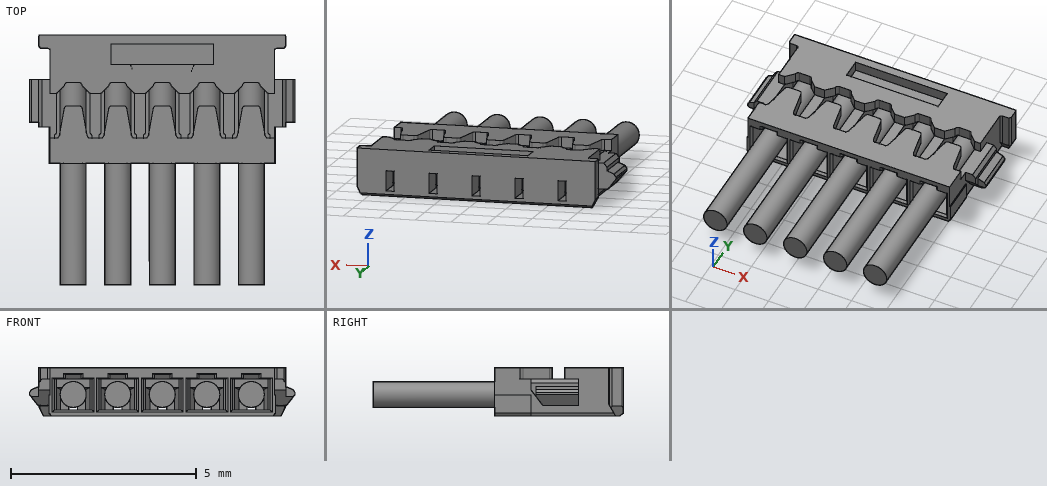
import cadquery as cq

overall_width = 7.16
overall_length = 6.74
height = 1.3
body_length = 3.465
body_half_width = 3.03

wire_count = 5
outer_wire_spacing = 4.8
wire_pitch = outer_wire_spacing / (wire_count - 1)
wire_diameter = 0.7
wire_center_z = 0.58
wire_rear_y = -0.715
shelf_z = 1.0
cavity_floor_z = 0.165
cavity_half_width = 0.45
cavity_rear_y = -1.075
funnel_depth = 0.285
seat_half_width = 0.34
seat_top_z = 0.715
seat_mouth_top_z = 0.77
contact_half_width = 0.115

entry_half_width = 0.51
entry_inner_y = -2.65
entry_outer_y = -2.71
mouth_half_width = 0.565
mouth_floor_z = 0.11
mouth_top_z = 1.03
mouth_lead = 0.065

relief_half_width = 0.21
relief_top_z = 1.12
relief_mouth_half_width = 0.265
relief_mouth_top_z = 1.15
relief_rear_y = -3.32

recess_rear_y = -1.58
recess_front_y = -2.785
tip_flat_half_width = 0.15
scallop_tip_y = -1.28
scallop_shoulder = (0.235, -1.37)
tongue_tip_y = -1.91
tongue_shoulder = (0.24, -1.99)
tongue_foot = (0.37, -2.71)
tongue_root_half_width = 0.44

pocket_half_width = 1.375
pocket_rear_y = -0.24
pocket_front_y = -0.795

flange_half_width = 3.33
flange_thickness = 0.365
flange_root_y = -0.395
flange_bottom_half_width = 3.2
flange_bevel_z = 0.265
flange_front_bevel_y = -0.21
flange_front_bevel_z = 0.32
flange_rear_corner_x = 0.015
flange_rear_corner_y = 0.05
flange_front_corner_x = 0.04
flange_front_corner_y = -0.3
flange_root_x = 3.085
rear_bevel_y = 0.1
rear_bevel_z = 0.07

latch_rear_y = -1.2
latch_front_y = -2.485
barb_front_y = -2.355
latch_bottom_z = 0.285
latch_bevel_top_z = 0.7
latch_bevel_rear_y = -2.17
latch_step_x = flange_half_width
latch_step_top_z = 0.895
latch_top_half_width = 3.235
barb_bottom_half_width = 3.35
barb_tip_low_z = 0.58
barb_tip_high_z = 0.63
barb_shoulder = (3.52, 0.715)
barb_top_z = 0.795

lip_width = 0.03
lip_top_z = 0.57
side_bevel_width = 0.035
side_bevel_z = 0.085

wire_positions = [(i - (wire_count - 1) / 2) * wire_pitch for i in range(wire_count)]


def box(x_half, y_front, y_rear, z_low, z_high):
    """Block centred on X between the given Y and Z limits."""
    return (
        cq.Workplane("XY", origin=(0, (y_front + y_rear) / 2, z_low))
        .rect(2 * x_half, y_rear - y_front)
        .extrude(z_high - z_low)
    )


def mirrored_points(right_side):
    """Close an outline by mirroring its right-hand points about X = 0."""
    return right_side + [(-x, y) for x, y in reversed(right_side)]


def front_prism(points, y_front, y_rear):
    """Extrude an XZ outline from y_front back to y_rear."""
    return cq.Workplane("XZ", origin=(0, y_rear, 0)).polyline(points).close().extrude(y_rear - y_front)


def side_prism(points, half_width):
    """Extrude a YZ outline to both sides of X = 0."""
    return cq.Workplane("YZ").polyline(points).close().extrude(half_width, both=True)


def taper(front, rear):
    """Loft between two rectangles, each given as (y, half width, z low, z high)."""
    wires = []
    for y, half, z_low, z_high in (front, rear):
        corners = [(-half, y, z_low), (half, y, z_low), (half, y, z_high), (-half, y, z_high)]
        wires.append(cq.Wire.makePolygon([cq.Vector(*corner) for corner in corners], close=True))
    return cq.Workplane(cq.Solid.makeLoft(wires, True))


def make_body():
    bevel_x = body_half_width - side_bevel_width
    section = mirrored_points([(bevel_x, 0), (body_half_width, side_bevel_z), (body_half_width, height)])
    body = front_prism(section, -body_length, 0)
    lip_x = body_half_width + lip_width
    lip = mirrored_points([(bevel_x, 0), (lip_x, side_bevel_z), (lip_x, lip_top_z)])
    return body.union(front_prism(lip, -body_length, latch_front_y))


def make_flange():
    plan = mirrored_points([
        (flange_half_width - flange_rear_corner_x, 0),
        (flange_half_width, -flange_rear_corner_y),
        (flange_half_width, flange_front_corner_y),
        (flange_half_width - flange_front_corner_x, -flange_thickness),
        (flange_root_x, -flange_thickness),
        (body_half_width, flange_root_y),
    ])
    flange = cq.Workplane("XY").polyline(plan).close().extrude(height)
    section = mirrored_points([
        (flange_bottom_half_width, 0),
        (flange_half_width, flange_bevel_z),
        (flange_half_width, height),
    ])
    profile = [
        (0, 0),
        (flange_front_bevel_y, 0),
        (flange_root_y, flange_front_bevel_z),
        (flange_root_y, height),
        (0, height),
    ]
    flange = flange.intersect(front_prism(section, -body_length, 0))
    return flange.intersect(side_prism(profile, flange_half_width))


def make_latches():
    tip_x = overall_width / 2
    barb = mirrored_points([
        (barb_bottom_half_width, latch_bottom_z),
        (tip_x, barb_tip_low_z),
        (tip_x, barb_tip_high_z),
        barb_shoulder,
        (latch_step_x, barb_top_z),
    ])
    inner = mirrored_points([
        (latch_step_x, latch_bottom_z),
        (latch_step_x, latch_step_top_z),
        (latch_top_half_width, shelf_z),
    ])
    latches = front_prism(barb, barb_front_y, latch_rear_y)
    latches = latches.union(front_prism(inner, latch_front_y, latch_rear_y))
    front_bevel = [
        (latch_front_y, latch_bottom_z),
        (latch_front_y, latch_bevel_top_z),
        (latch_bevel_rear_y, latch_bottom_z),
    ]
    return latches.cut(side_prism(front_bevel, tip_x))


def make_recess():
    """Full-width recess with a scallop behind every wire and a tongue over it."""
    recess = box(overall_width, recess_front_y, recess_rear_y, shelf_z, height)
    depth = height - shelf_z
    shelf = cq.Workplane("XY", origin=(0, 0, shelf_z))
    half_scallop = (
        shelf.moveTo(0, scallop_tip_y)
        .lineTo(tip_flat_half_width, scallop_tip_y)
        .tangentArcPoint(scallop_shoulder, relative=False)
        .lineTo(cavity_half_width, recess_rear_y)
        .lineTo(0, recess_rear_y)
        .close()
        .extrude(depth)
    )
    half_tongue = (
        shelf.moveTo(0, tongue_tip_y)
        .lineTo(tip_flat_half_width, tongue_tip_y)
        .tangentArcPoint(tongue_shoulder, relative=False)
        .lineTo(*tongue_foot)
        .tangentArcPoint((tongue_root_half_width, recess_front_y), relative=False)
        .lineTo(0, recess_front_y)
        .close()
        .extrude(depth)
    )
    scallop = half_scallop.union(half_scallop.mirror("YZ"))
    tongue = half_tongue.union(half_tongue.mirror("YZ"))
    for x in wire_positions:
        recess = recess.union(scallop.translate((x, 0, 0)))
        recess = recess.cut(tongue.translate((x, 0, 0)))
    return recess


def make_cavity():
    front_y = -body_length
    cavity = box(cavity_half_width, front_y, cavity_rear_y, cavity_floor_z, shelf_z)
    cavity = cavity.union(box(entry_half_width, front_y, entry_outer_y, cavity_floor_z, shelf_z))
    cavity = cavity.union(taper(
        (entry_outer_y, entry_half_width, cavity_floor_z, shelf_z),
        (entry_inner_y, cavity_half_width, cavity_floor_z, shelf_z),
    ))
    cavity = cavity.union(taper(
        (front_y, mouth_half_width, mouth_floor_z, mouth_top_z),
        (front_y + mouth_lead, entry_half_width, cavity_floor_z, shelf_z),
    ))
    seat_front_y = cavity_rear_y + funnel_depth
    cavity = cavity.union(taper(
        (cavity_rear_y, cavity_half_width, cavity_floor_z, seat_mouth_top_z),
        (seat_front_y, seat_half_width, cavity_floor_z, seat_top_z),
    ))
    cavity = cavity.union(box(seat_half_width, seat_front_y, wire_rear_y, cavity_floor_z, seat_top_z))
    return cavity.union(box(contact_half_width, wire_rear_y, 0, cavity_floor_z, seat_top_z))


def make_relief():
    front_y = -body_length
    lead_y = front_y + mouth_lead
    lead_in = taper(
        (front_y, relief_mouth_half_width, shelf_z, relief_mouth_top_z),
        (lead_y, relief_half_width, shelf_z, relief_top_z),
    )
    ramp = [(lead_y, shelf_z), (lead_y, relief_top_z), (relief_rear_y, shelf_z)]
    return lead_in.union(side_prism(ramp, relief_half_width))


def make_wire():
    return (
        cq.Workplane("XZ", origin=(0, wire_rear_y, wire_center_z))
        .circle(wire_diameter / 2)
        .extrude(overall_length + wire_rear_y)
    )


rear_bevel = [(0, 0), (-rear_bevel_y, 0), (0, rear_bevel_z)]
housing = make_body().union(make_flange()).union(make_latches())
housing = housing.cut(side_prism(rear_bevel, overall_width))
housing = housing.cut(make_recess())
housing = housing.cut(box(pocket_half_width, pocket_front_y, pocket_rear_y, shelf_z, height))

cavity = make_cavity().union(make_relief())
wire = make_wire()
for x in wire_positions:
    housing = housing.cut(cavity.translate((x, 0, 0)))
for x in wire_positions:
    housing = housing.union(wire.translate((x, 0, 0)))

result = housing